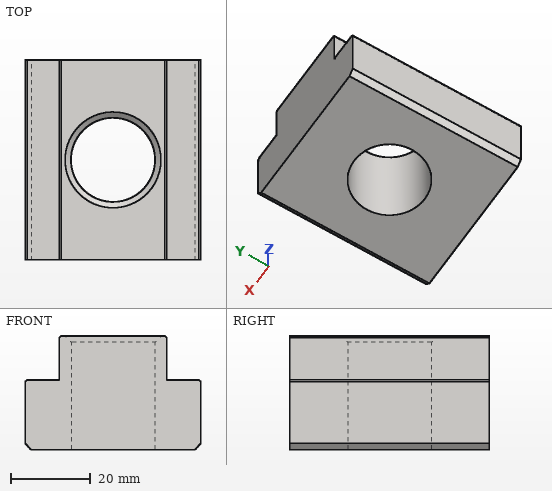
import cadquery as cq

length = 50.0
base_width = 44.0
total_height = 28.5

base_height = 17.5
neck_width = 27.0
top_chamfer = 0.5
bottom_chamfer_width = 1.5
bottom_chamfer_height = 1.6

hole_diameter = 21.0
mouth_diameter = 24.0
mouth_depth = (mouth_diameter - hole_diameter) / 2


def t_section_block():
    """Extrude the T section along Y, with beveled edges along its corners."""
    half_base = base_width / 2
    half_neck = neck_width / 2
    right_half = [
        (half_base - bottom_chamfer_width, 0),
        (half_base, bottom_chamfer_height),
        (half_base, base_height - top_chamfer),
        (half_base - top_chamfer, base_height),
        (half_neck, base_height),
        (half_neck, total_height - top_chamfer),
        (half_neck - top_chamfer, total_height),
    ]
    left_half = [(-x, z) for x, z in reversed(right_half)]
    return (
        cq.Workplane("XZ")
        .polyline(right_half + left_half)
        .close()
        .extrude(length / 2, both=True)
    )


def countersunk_hole():
    """Solid of the hole: a straight bore widened by a cone at the top."""
    bore = cq.Workplane("XY").circle(hole_diameter / 2).extrude(total_height)
    mouth = (
        cq.Workplane("XY", origin=(0, 0, total_height - mouth_depth))
        .circle(hole_diameter / 2)
        .workplane(offset=mouth_depth)
        .circle(mouth_diameter / 2)
        .loft(ruled=True)
    )
    return bore.union(mouth)


result = t_section_block().cut(countersunk_hole())